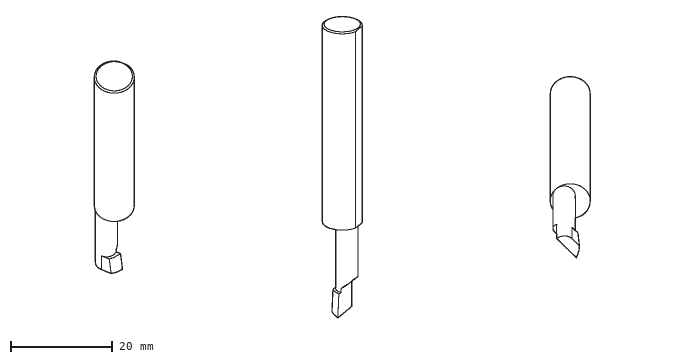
import cadquery as cq

overall_length = 63.5
shank_diameter = 7.95
shank_bottom = 20.3
shank_flat_y = 3.75
shank_chamfer_width = 0.4
shank_chamfer_height = 0.25

neck_diameter = 4.45
neck_y = 0.05

head_height = 5.0
head_left = -1.8
tip_x_bottom = 1.85
side_taper = 0.45
relief_x = 1.1
relief_y = -1.4
front_face_right = 0.4

rake_y = 0.0
runout_bottom = 5.9
runout_rise = 2.0
runout_sag = 0.1
end_relief_angle = 8.0
end_side_angle = 1.5

shank_radius = shank_diameter / 2
neck_radius = neck_diameter / 2
neck_x = neck_radius - shank_radius
neck_front = neck_y - neck_radius
neck_back = neck_y + neck_radius
clearance = 12.7


def make_shank():
    shank = cq.Workplane("XY").workplane(offset=shank_bottom)
    shank = shank.circle(shank_radius).extrude(overall_length - shank_bottom)
    rim = shank.faces(">Z").edges().vals()
    shank = cq.Workplane(shank.val().chamfer(shank_chamfer_height, shank_chamfer_width, rim))
    beyond_flat = cq.Workplane("XY").box(
        2 * clearance, clearance, overall_length, centered=(True, False, False)
    )
    return shank.cut(beyond_flat.translate((0, shank_flat_y, 0)))


def make_neck():
    return cq.Workplane("XY").center(neck_x, neck_y).circle(neck_radius).extrude(shank_bottom)


def head_outline(taper):
    return [
        (head_left, rake_y),
        (head_left, neck_front),
        (front_face_right - taper, neck_front),
        (relief_x - taper, relief_y),
        (tip_x_bottom - taper, rake_y),
    ]


def make_head():
    head = cq.Workplane("XY").polyline(head_outline(0)).close()
    head = head.workplane(offset=head_height).polyline(head_outline(side_taper)).close()
    return head.loft(ruled=True)


def make_rake_cutter():
    runout_top = runout_bottom + runout_rise
    runout_middle = ((rake_y + neck_back) / 2, runout_bottom + runout_rise / 2 - runout_sag)
    profile = (
        cq.Workplane("YZ")
        .moveTo(rake_y, -clearance)
        .lineTo(rake_y, runout_bottom)
        .threePointArc(runout_middle, (neck_back, runout_top))
        .lineTo(clearance, runout_top)
        .lineTo(clearance, -clearance)
        .close()
    )
    return profile.extrude(clearance, both=True)


def make_end_cutter():
    block = cq.Workplane("XY").box(2 * clearance, 2 * clearance, clearance, centered=(True, True, False))
    block = block.translate((0, 0, -clearance))
    block = block.rotate((0, 0, 0), (1, 0, 0), -end_relief_angle)
    block = block.rotate((0, 0, 0), (0, 1, 0), end_side_angle)
    return block.translate((tip_x_bottom, rake_y, 0))


tool_end = make_neck().union(make_head()).cut(make_rake_cutter()).cut(make_end_cutter())
result = make_shank().union(tool_end)